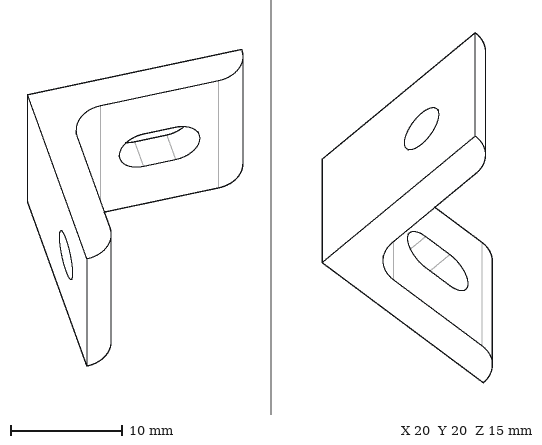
import cadquery as cq

leg_length = 20.0
height = 15.0
thickness = 3.0
tip_radius = thickness
root_radius = 3.0
hole_diameter = 4.5
hole_x = 13.0
slot_length = 7.5
slot_y = 11.5
mid_height = height / 2


def angle_body():
    """Equal-leg angle section with rounded toes and root, extruded along Z."""
    toe_start = leg_length - tip_radius
    root_end = thickness + root_radius
    return (
        cq.Workplane("XY")
        .lineTo(leg_length, 0)
        .radiusArc((toe_start, thickness), -tip_radius)
        .lineTo(root_end, thickness)
        .radiusArc((thickness, root_end), root_radius)
        .lineTo(thickness, toe_start)
        .radiusArc((0, leg_length), -tip_radius)
        .close()
        .extrude(height)
    )


def round_hole():
    """Cutter for the round hole through the leg along X."""
    return (
        cq.Workplane("XZ")
        .center(hole_x, mid_height)
        .circle(hole_diameter / 2)
        .extrude(-thickness)
    )


def slot():
    """Cutter for the horizontal slot through the leg along Y."""
    return (
        cq.Workplane("YZ")
        .center(slot_y, mid_height)
        .slot2D(slot_length, hole_diameter)
        .extrude(thickness)
    )


result = angle_body().cut(round_hole()).cut(slot())